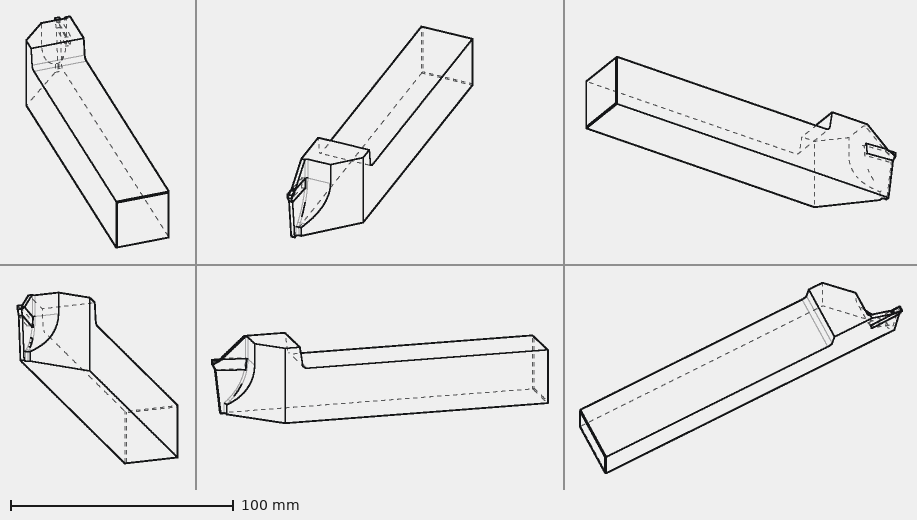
import cadquery as cq
import math

total_length = 150.0
holder_width = 25.0
shank_height = 24.9
head_height = 35.0
shank_end_chamfer = 0.5

blade_foot_x = 3.8
blade_nose_x = 1.4
blade_nose_z = 20.4
blade_peak_x = 4.8
blade_peak_z = 25.8
head_top_start_x = 15.2
head_top_end_x = 34.0
head_back_foot_x = 35.5
head_back_fillet = 2.2

corner_chamfer = 27.2
blade_thickness = 1.8
blade_front_y = holder_width - blade_thickness
pocket_wall_x = 16.0
pocket_foot_x = 6.0
pocket_arc_radius = 25.5
pocket_arc_sweep_deg = 48.0
pocket_floor_fillet = 0.9

insert_slope_deg = 4.0
insert_rear_top_x = 15.8
insert_rear_top_z = 24.6
insert_rear_bottom_x = 15.3
insert_height = 5.1
tip_height = 1.8
tip_side_overhang = 0.2
chip_face_end_x = 3.6

insert_slope = math.tan(math.radians(insert_slope_deg))
insert_rear_bottom_z = insert_rear_top_z - insert_height
insert_nose_z = insert_rear_bottom_z + insert_slope * (insert_rear_bottom_x - blade_nose_x)
insert_top_at_peak = insert_rear_top_z + insert_slope * (insert_rear_top_x - blade_peak_x)
tip_bottom_z = shank_height - tip_height


def extrude_along_y(outline, y_start, y_end):
    """Extrude a closed XZ outline from y_start to y_end."""
    return outline.extrude(y_start - y_end).translate((0, y_start, 0))


def make_insert_body():
    outline = cq.Workplane("XZ").polyline([
        (0, tip_bottom_z),
        (blade_nose_x, insert_nose_z),
        (insert_rear_bottom_x, insert_rear_bottom_z),
        (insert_rear_top_x, insert_rear_top_z),
        (blade_peak_x, insert_top_at_peak),
        (chip_face_end_x, shank_height),
    ]).close()
    return extrude_along_y(outline, blade_front_y, holder_width)


def make_insert():
    tip_outline = cq.Workplane("XZ").polyline([
        (0, tip_bottom_z),
        (chip_face_end_x, shank_height),
        (0, shank_height),
    ]).close()
    tip = extrude_along_y(
        tip_outline, blade_front_y - tip_side_overhang, holder_width + tip_side_overhang
    )
    return make_insert_body().union(tip)


def make_blank():
    """Shank and raised head, full width."""
    outline = cq.Workplane("XZ").polyline([
        (blade_foot_x, 0),
        (total_length, 0),
        (total_length, shank_height),
        (head_back_foot_x, shank_height),
        (head_top_end_x, head_height),
        (head_top_start_x, head_height),
        (blade_peak_x, blade_peak_z),
        (blade_nose_x, blade_nose_z),
    ]).close()
    blank = extrude_along_y(outline, 0, holder_width)
    head_back_foot = cq.selectors.NearestToPointSelector((head_back_foot_x, holder_width / 2, shank_height))
    blank = blank.edges(head_back_foot).fillet(head_back_fillet)
    return blank.faces(">X").edges().chamfer(shank_end_chamfer)


def make_corner_cutter():
    """Slanted front corner, stopping at the blade."""
    blade_side_x = corner_chamfer - blade_front_y
    return (
        cq.Workplane("XY")
        .polyline([(0, 0), (corner_chamfer, 0), (blade_side_x, blade_front_y), (0, blade_front_y)])
        .close()
        .extrude(head_height)
    )


def make_pocket_cutter():
    """Space beside the blade: upright wall, arc, straight run tangent to it, upright foot."""
    arc_center_x = pocket_wall_x - pocket_arc_radius
    full_sweep = math.radians(pocket_arc_sweep_deg)
    half_sweep = full_sweep / 2
    arc_mid = (
        arc_center_x + pocket_arc_radius * math.cos(half_sweep),
        shank_height - pocket_arc_radius * math.sin(half_sweep),
    )
    arc_end = (
        arc_center_x + pocket_arc_radius * math.cos(full_sweep),
        shank_height - pocket_arc_radius * math.sin(full_sweep),
    )
    pocket_foot_z = arc_end[1] - (arc_end[0] - pocket_foot_x) / math.tan(full_sweep)
    outline = (
        cq.Workplane("XZ")
        .moveTo(0, 0)
        .lineTo(pocket_foot_x, 0)
        .lineTo(pocket_foot_x, pocket_foot_z)
        .lineTo(*arc_end)
        .threePointArc(arc_mid, (pocket_wall_x, shank_height))
        .lineTo(pocket_wall_x, head_height)
        .lineTo(0, head_height)
        .close()
    )
    cutter = extrude_along_y(outline, 0, blade_front_y)
    wall_edges = cutter.faces(">Y").edges("not(<X or <Z or >Z)")
    return wall_edges.fillet(pocket_floor_fillet)


def make_insert_seat():
    """Insert-shaped slot, opened forward through the pocket floor fillet."""
    clearance = make_insert_body().translate((0, -pocket_floor_fillet, 0))
    return make_insert().union(clearance)


def make_holder():
    holder = make_blank().cut(make_corner_cutter())
    holder = holder.cut(make_pocket_cutter())
    return holder.cut(make_insert_seat())


insert = make_insert()
holder = make_holder()

result = cq.Compound.makeCompound([holder.solids().val(), insert.solids().val()])